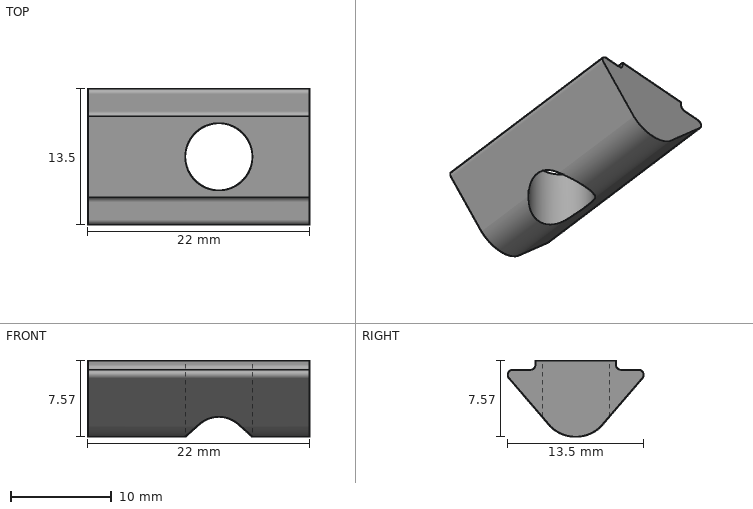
import cadquery as cq
import math

length = 22.0
width = 13.5
height = 7.57
head_width = 8.0
step_depth = 0.9
step_fillet = 0.5
edge_radius = 0.5
flank_slope = 49.3
keel_radius = 3.56
hole_diameter = 6.65
hole_x = 13.0

ledge_z = height - step_depth
edge_y = width / 2 - edge_radius
edge_z = ledge_z - edge_radius

flank_angle = math.radians(flank_slope - 90)
normal_y = math.cos(flank_angle)
normal_z = math.sin(flank_angle)
flank_top = (edge_y + edge_radius * normal_y, edge_z + edge_radius * normal_z)

keel_distance = flank_top[0] * normal_y + (flank_top[1] - keel_radius) * normal_z
crossing_angle = flank_angle - math.acos(keel_distance / keel_radius)
flank_bottom = (
    keel_radius * math.cos(crossing_angle),
    keel_radius * (1 + math.sin(crossing_angle)),
)

round_middle_angle = (math.pi / 2 + flank_angle) / 2
round_middle = (
    edge_y + edge_radius * math.cos(round_middle_angle),
    edge_z + edge_radius * math.sin(round_middle_angle),
)

head_y = head_width / 2
fillet_offset = step_fillet * (1 - math.sqrt(0.5))
fillet_middle = (head_y + fillet_offset, ledge_z + fillet_offset)


def mirrored(point):
    """Return the matching point on the other side of the bar."""
    return (-point[0], point[1])


def make_bar():
    """Extrude the cross-section along X."""
    fillet_top = (head_y, ledge_z + step_fillet)
    fillet_end = (head_y + step_fillet, ledge_z)
    round_start = (edge_y, ledge_z)
    return (
        cq.Workplane("YZ")
        .moveTo(-head_y, height)
        .lineTo(head_y, height)
        .lineTo(*fillet_top)
        .threePointArc(fillet_middle, fillet_end)
        .lineTo(*round_start)
        .threePointArc(round_middle, flank_top)
        .lineTo(*flank_bottom)
        .threePointArc((0, 0), mirrored(flank_bottom))
        .lineTo(*mirrored(flank_top))
        .threePointArc(mirrored(round_middle), mirrored(round_start))
        .lineTo(*mirrored(fillet_end))
        .threePointArc(mirrored(fillet_middle), mirrored(fillet_top))
        .close()
        .extrude(length)
    )


def make_hole():
    """Vertical through hole, offset toward +X."""
    return cq.Workplane("XY").center(hole_x, 0).circle(hole_diameter / 2).extrude(height)


result = make_bar().cut(make_hole())